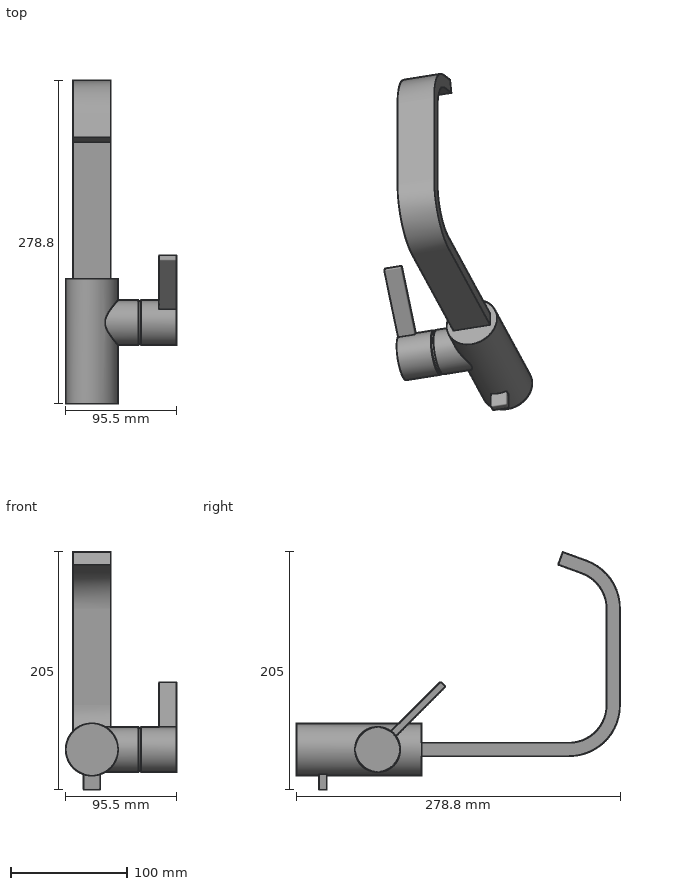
import cadquery as cq
import math

BARREL_RADIUS = 22.5
BARREL_LENGTH = 108.0
BRANCH_RADIUS = 19.5
BRANCH_Y = 70.0
BRANCH_END = 40.0

RING_RADIUS = 18.7
RING_WIDTH = 2.0
KNOB_RADIUS = BRANCH_RADIUS
KNOB_START = BRANCH_END + RING_WIDTH
KNOB_END = 73.0
KNOB_CHAMFER = 0.5

LEVER_WIDTH = 15.3
LEVER_THICKNESS = 6.0
LEVER_REACH = 79.8
LEVER_ANGLE = 45.0
LEVER_FILLET = 1.0

PIN_WIDTH = 14.5
PIN_THICKNESS = 7.0
PIN_Y = 23.0
PIN_BOTTOM = 34.9
PIN_FILLET = 1.0

SPOUT_WIDTH = 33.0
SPOUT_THICKNESS = 11.7
SPOUT_OUTER_Y = 278.8
BEND_RADIUS = 38.2
UPPER_BEND_START = 121.3
UPPER_BEND_ANGLE = 70.0
TIP_LENGTH = 21.8


def cylinder_along_x(radius, start, end):
    """Round bar on the branch axis between two X positions."""
    return cq.Workplane("YZ", origin=(start, BRANCH_Y, 0)).circle(radius).extrude(end - start)


def make_barrel():
    """Round bar along +Y with its closed end at Y = 0."""
    return cq.Workplane("XZ").circle(BARREL_RADIUS).extrude(-BARREL_LENGTH)


def make_housing():
    return make_barrel().union(cylinder_along_x(BRANCH_RADIUS, 0, BRANCH_END))


def make_ring():
    return cylinder_along_x(RING_RADIUS, BRANCH_END, KNOB_START)


def make_knob():
    knob = cylinder_along_x(KNOB_RADIUS, KNOB_START, KNOB_END)
    return knob.faces("<X").chamfer(KNOB_CHAMFER)


def make_lever():
    """Rounded bar with its outer side flush with the knob end and its foot shaped to the knob."""
    bar = cq.Workplane("XY").box(LEVER_WIDTH, LEVER_THICKNESS, LEVER_REACH, centered=(True, True, False))
    bar = bar.edges("|Z or >Z").fillet(LEVER_FILLET)
    bar = bar.rotate((0, 0, 0), (1, 0, 0), -LEVER_ANGLE)
    bar = bar.translate((KNOB_END - LEVER_WIDTH / 2, BRANCH_Y, 0))
    return bar.cut(cylinder_along_x(KNOB_RADIUS, KNOB_START, KNOB_END))


def make_pin():
    """Rounded bar hanging below the barrel, its top shaped to the barrel."""
    bar = cq.Workplane("XY").box(PIN_WIDTH, PIN_THICKNESS, PIN_BOTTOM, centered=(True, True, False))
    bar = bar.translate((0, PIN_Y, -PIN_BOTTOM)).edges("|Z or <Z").fillet(PIN_FILLET)
    return bar.cut(make_barrel())


def make_spout():
    """Flat bar butted on the barrel end, swept along its bent centre line."""
    upright_y = SPOUT_OUTER_Y - SPOUT_THICKNESS / 2
    bend_y = upright_y - BEND_RADIUS
    angle = math.radians(UPPER_BEND_ANGLE)
    upper_bend_end = (
        bend_y + BEND_RADIUS * math.cos(angle),
        UPPER_BEND_START + BEND_RADIUS * math.sin(angle),
    )
    path = (
        cq.Workplane("YZ")
        .moveTo(BARREL_LENGTH, 0)
        .lineTo(bend_y, 0)
        .tangentArcPoint((upright_y, BEND_RADIUS), relative=False)
        .lineTo(upright_y, UPPER_BEND_START)
        .tangentArcPoint(upper_bend_end, relative=False)
        .line(-TIP_LENGTH * math.sin(angle), TIP_LENGTH * math.cos(angle))
    )
    section = cq.Workplane("XZ", origin=(0, BARREL_LENGTH, 0)).rect(SPOUT_WIDTH, SPOUT_THICKNESS)
    return section.sweep(path)


housing = make_housing()
spout = make_spout()
ring = make_ring()
knob = make_knob()
lever = make_lever()
pin = make_pin()

result = cq.Compound.makeCompound(
    [housing.val(), spout.val(), ring.val(), knob.val(), lever.val(), pin.val()]
)